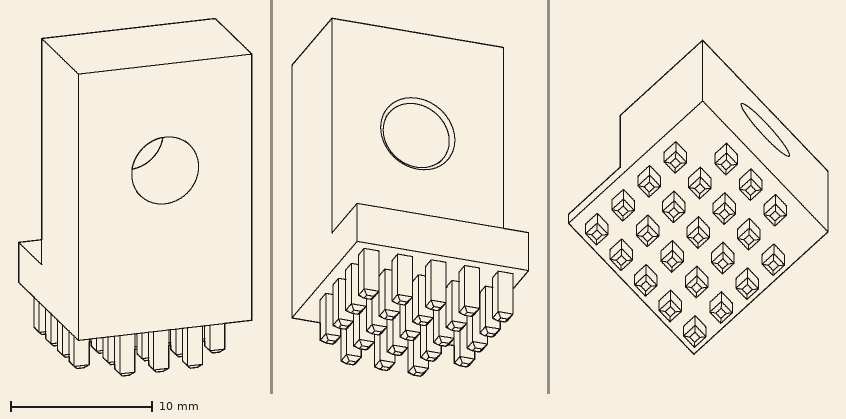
import cadquery as cq

side = 13.0
total_height = 23.5
pin_length = 3.5
base_thickness = 3.0
ledge_depth = 5.0
body_height = total_height - pin_length
wall_face = ledge_depth - side / 2

hole_diameter = 5.0
hole_below_top = 8.0
hole_chamfer = 0.3

pins_per_side = 5
pin_pitch = 2.54
pin_width = 1.13
pin_tip_chamfer = 0.3


def make_body():
    """L-shaped block centred on the Z axis, with its underside at Z = 0."""
    left = -side / 2
    right = side / 2
    return (
        cq.Workplane("XZ")
        .moveTo(left, 0)
        .lineTo(right, 0)
        .lineTo(right, body_height)
        .lineTo(wall_face, body_height)
        .lineTo(wall_face, base_thickness)
        .lineTo(left, base_thickness)
        .close()
        .extrude(side / 2, both=True)
    )


def make_hole():
    """Cutter for the wall hole, flared at the wall face above the ledge."""
    wall_thickness = side - ledge_depth
    bore_radius = hole_diameter / 2
    cutter = (
        cq.Workplane("XY")
        .lineTo(0, bore_radius + hole_chamfer)
        .lineTo(hole_chamfer, bore_radius)
        .lineTo(wall_thickness, bore_radius)
        .lineTo(wall_thickness, 0)
        .close()
        .revolve(360, (0, 0, 0), (1, 0, 0))
    )
    return cutter.translate((wall_face, 0, body_height - hole_below_top))


def pin_centres():
    """Grid positions, leaving out the two corners under the back of the wall."""
    last = pins_per_side - 1
    empty_corners = [(last, 0), (last, last)]
    return [
        ((column - last / 2) * pin_pitch, (row - last / 2) * pin_pitch)
        for column in range(pins_per_side)
        for row in range(pins_per_side)
        if (column, row) not in empty_corners
    ]


def make_pins():
    """Square pins with chamfered tips, hanging below the base."""
    return (
        cq.Workplane("XY")
        .pushPoints(pin_centres())
        .rect(pin_width, pin_width)
        .extrude(-pin_length)
        .faces("<Z")
        .edges()
        .chamfer(pin_tip_chamfer)
    )


result = make_body().cut(make_hole()).union(make_pins())